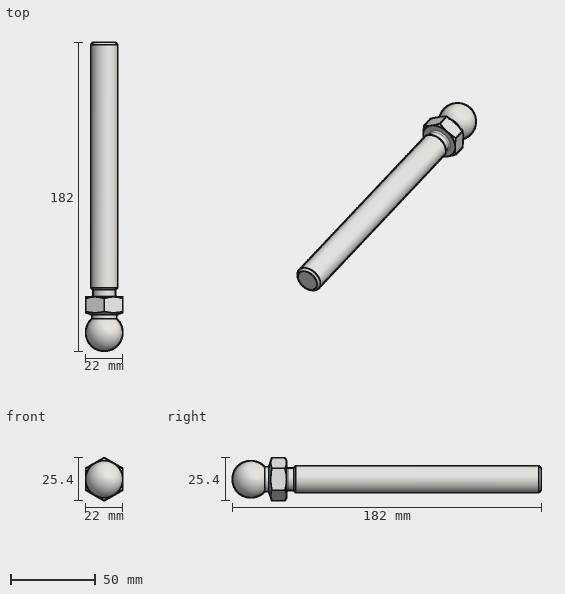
import cadquery as cq
import math

total_length = 182.0
ball_diameter = 22.0
neck_diameter = 15.0
shank_diameter = 16.0
shank_end_chamfer = 1.5

across_flats = 22.0
hex_front = 21.5
hex_back = 32.0
front_cone_radius = neck_diameter / 2
front_cone_angle = 20.0
back_cone_radius = across_flats / 2
back_cone_angle = 30.0

relief_diameter = 13.5
relief_fillet = 1.0
shank_start = 37.5

ball_radius = ball_diameter / 2
neck_radius = neck_diameter / 2
relief_radius = relief_diameter / 2
shank_radius = shank_diameter / 2
corner_radius = across_flats / math.sqrt(3)


def make_round_body():
    """Revolve the ball, neck, relief groove and shank about the Y axis."""
    ball_end = ball_radius + math.sqrt(ball_radius**2 - neck_radius**2)
    relief_end = shank_start - (shank_radius - relief_radius)
    return (
        cq.Workplane("XY")
        .moveTo(0, 0)
        .threePointArc((ball_radius, ball_radius), (neck_radius, ball_end))
        .lineTo(neck_radius, hex_back)
        .lineTo(relief_radius + relief_fillet, hex_back)
        .radiusArc((relief_radius, hex_back + relief_fillet), relief_fillet)
        .lineTo(relief_radius, relief_end)
        .lineTo(shank_radius, shank_start)
        .lineTo(shank_radius, total_length - shank_end_chamfer)
        .lineTo(shank_radius - shank_end_chamfer, total_length)
        .lineTo(0, total_length)
        .close()
        .revolve(360, (0, 0, 0), (0, 1, 0))
    )


def make_hexagon():
    """Hexagon with corners at +Z and -Z, its corners turned to a cone on both faces."""
    prism = (
        cq.Workplane("XZ", origin=(0, hex_front, 0))
        .transformed(rotate=(0, 0, 90))
        .polygon(6, 2 * corner_radius)
        .extrude(hex_front - hex_back)
    )
    front_drop = (corner_radius - front_cone_radius) * math.tan(math.radians(front_cone_angle))
    back_drop = (corner_radius - back_cone_radius) * math.tan(math.radians(back_cone_angle))
    turned_blank = (
        cq.Workplane("XY")
        .moveTo(0, hex_front)
        .lineTo(front_cone_radius, hex_front)
        .lineTo(corner_radius, hex_front + front_drop)
        .lineTo(corner_radius, hex_back - back_drop)
        .lineTo(back_cone_radius, hex_back)
        .lineTo(0, hex_back)
        .close()
        .revolve(360, (0, 0, 0), (0, 1, 0))
    )
    return prism.intersect(turned_blank)


result = make_round_body().union(make_hexagon())